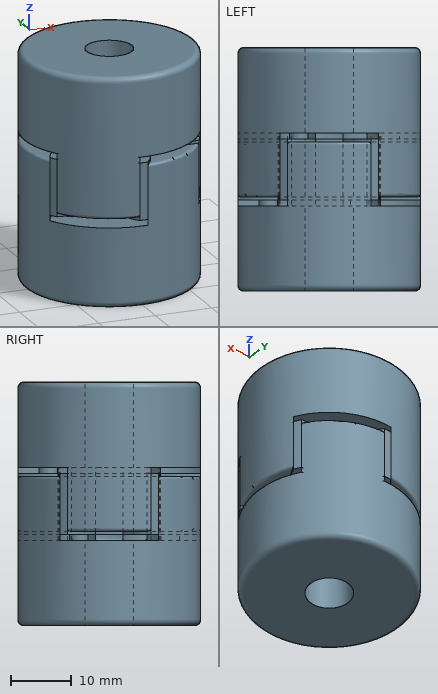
import cadquery as cq
import math

height = 40.0
outer_radius = 15.0
bore_radius = 4.0
rim_fillet = 1.0
middle = height / 2

hub_length = 14.0
jaw_tip = 24.5
tip_fillet = 0.5
spider_thickness = 10.0
pad_height = middle - hub_length - spider_thickness / 2

jaws_per_hub = 3
jaw_pitch = 360 / jaws_per_hub
arm_pitch = jaw_pitch / 2
jaw_inner_radius = 8.7
jaw_inner_half_width = 2.25
jaw_outer_half_width = 6.9
jaw_side_radius = 14.2 / 2
jaw_root_fillet = 0.3
jaw_overshoot = 0.4
tolerance = 0.0005

pad_radius = 3.0 / 2
pad_circle_radius = 10.0


def axial_cylinder(radius, bottom, top):
    """Cylinder on the coupling axis between two heights."""
    return cq.Workplane("XY").workplane(offset=bottom).circle(radius).extrude(top - bottom)


def point_on_circle(radius, y):
    """Point with positive X on a centred circle, at the given Y."""
    return (math.sqrt(radius**2 - y**2), y)


def side_arc_middle(inner, outer):
    """Middle point of the hollow jaw side that joins two corners on the positive Y side."""
    dx = outer[0] - inner[0]
    dy = outer[1] - inner[1]
    chord = math.hypot(dx, dy)
    sagitta = jaw_side_radius - math.sqrt(jaw_side_radius**2 - (chord / 2) ** 2)
    x = (inner[0] + outer[0]) / 2 + sagitta * dy / chord
    y = (inner[1] + outer[1]) / 2 - sagitta * dx / chord
    return (x, y)


def mirrored(point):
    return (point[0], -point[1])


def jaw_prism(angle, bottom, top):
    """Jaw outline with hollow sides, running out past the outer cylinder in the given direction."""
    inner = point_on_circle(jaw_inner_radius, jaw_inner_half_width)
    outer = point_on_circle(outer_radius, jaw_outer_half_width)
    side = side_arc_middle(inner, outer)
    beyond = (outer_radius + jaw_overshoot, jaw_outer_half_width)
    return (
        cq.Workplane("XY")
        .workplane(offset=bottom)
        .moveTo(*inner)
        .threePointArc(side, outer)
        .lineTo(*beyond)
        .lineTo(*mirrored(beyond))
        .lineTo(*mirrored(outer))
        .threePointArc(mirrored(side), mirrored(inner))
        .threePointArc((jaw_inner_radius, 0), inner)
        .close()
        .extrude(top - bottom)
        .rotate((0, 0, 0), (0, 0, 1), angle)
    )


def is_jaw_root(edge):
    """True for the arc where the inner face of a jaw meets the hub face."""
    on_hub_face = abs(edge.Center().z - hub_length) < tolerance
    is_arc = edge.geomType() == "CIRCLE"
    return on_hub_face and is_arc and abs(edge.radius() - jaw_inner_radius) < tolerance


def make_hub(first_jaw_angle):
    """Hub standing on its outer end face, with its jaws pointing up."""
    envelope = axial_cylinder(outer_radius, 0, jaw_tip)
    envelope = envelope.faces("<Z").edges().fillet(rim_fillet)
    envelope = envelope.faces(">Z").edges().fillet(tip_fillet)

    clearance = axial_cylinder(outer_radius + jaw_overshoot, hub_length, jaw_tip)
    for i in range(jaws_per_hub):
        clearance = clearance.cut(jaw_prism(first_jaw_angle + i * jaw_pitch, hub_length, jaw_tip))
    hub = envelope.cut(clearance)

    jaw_roots = [edge for edge in hub.edges().vals() if is_jaw_root(edge)]
    hub = hub.newObject(jaw_roots).fillet(jaw_root_fillet)
    return hub.cut(axial_cylinder(bore_radius, 0, hub_length))


def make_spider():
    """Elastic star that fills the spaces between all the jaws."""
    bottom = middle - spider_thickness / 2
    top = middle + spider_thickness / 2
    spider = axial_cylinder(outer_radius, bottom, top)
    for i in range(2 * jaws_per_hub):
        spider = spider.cut(jaw_prism(i * arm_pitch, bottom, top))

    for i in range(2 * jaws_per_hub):
        angle = math.radians((i + 0.5) * arm_pitch)
        pad_bottom = top if i % 2 == 0 else bottom - pad_height
        pad = (
            cq.Workplane("XY")
            .workplane(offset=pad_bottom)
            .center(pad_circle_radius * math.cos(angle), pad_circle_radius * math.sin(angle))
            .circle(pad_radius)
            .extrude(pad_height)
        )
        spider = spider.union(pad)
    return spider.cut(axial_cylinder(bore_radius, bottom, top))


lower_hub = make_hub(arm_pitch)
upper_hub = make_hub(0).rotate((0, 0, 0), (1, 0, 0), 180).translate((0, 0, height))
spider = make_spider()

bodies = [lower_hub, upper_hub, spider]
result = cq.Compound.makeCompound([body.solids().val() for body in bodies])